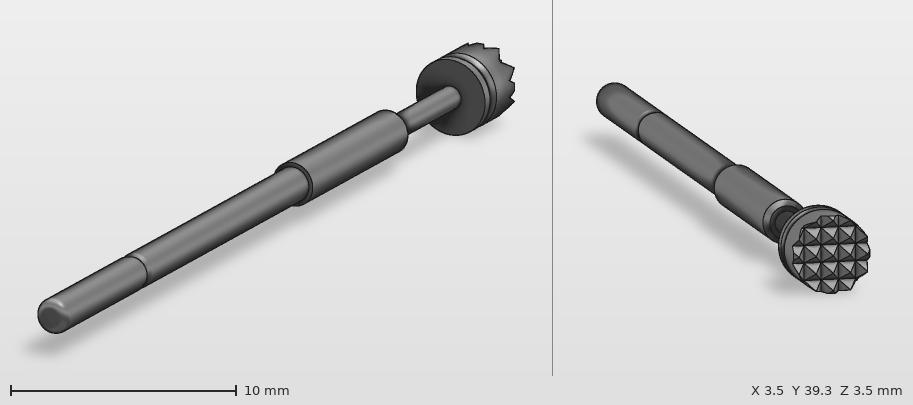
import cadquery as cq

total_length = 39.3

head_diameter = 3.5
head_length = 3.0
teeth_across = 5
tooth_pitch = 0.8
tooth_depth = 0.65
neck_position = 2.25
neck_width = 0.6
neck_depth = 0.15

stem_diameter = 1.05

sleeve_diameter = 2.0
sleeve_front = 8.3
sleeve_back = 17.3
sleeve_chamfer_length = 0.35
sleeve_chamfer_depth = 0.25

tube_diameter = 1.6
tube_end_round = 0.4
detent_position = 7.45
detent_width = 0.6
detent_depth = 0.08


def rod(diameter, start, end):
    """Cylinder on the Y axis from Y = start to Y = end."""
    return cq.Workplane("XZ", origin=(0, start, 0)).circle(diameter / 2).extrude(start - end)


def ring_groove(diameter, position, width, depth):
    """Solid ring with a V section centred on Y = position, for cutting a groove into a rod."""
    radius = diameter / 2
    start = position - width / 2
    end = position + width / 2
    section = cq.Workplane("XY").polyline([(radius, start), (radius - depth, position), (radius, end)])
    return section.close().revolve(360, (0, 0, 0), (0, 1, 0))


def tooth_notches(plane):
    """Parallel V notches across the end of the head, drawn on the given plane."""
    notches = cq.Workplane(plane)
    root = total_length - tooth_depth
    for index in range(teeth_across + 1):
        centre = (index - teeth_across / 2) * tooth_pitch
        left = centre - tooth_pitch / 2
        right = centre + tooth_pitch / 2
        outline = cq.Workplane(plane).polyline([(left, total_length), (centre, root), (right, total_length)])
        notches = notches.add(outline.close().extrude(head_diameter, both=True))
    return notches.combine()


def make_tube():
    tube = rod(tube_diameter, 0, total_length - sleeve_back).faces("<Y").edges().fillet(tube_end_round)
    return tube.cut(ring_groove(tube_diameter, detent_position, detent_width, detent_depth))


def make_sleeve():
    """Sleeve with a shallow cone at its front end."""
    cone_start = total_length - sleeve_front - sleeve_chamfer_length
    body = rod(sleeve_diameter, total_length - sleeve_back, cone_start)
    front_radius = sleeve_diameter / 2 - sleeve_chamfer_depth
    cone = body.faces(">Y").wires().toPending().workplane(offset=sleeve_chamfer_length)
    return cone.circle(front_radius).loft()


def make_head():
    head = rod(head_diameter, total_length - head_length, total_length)
    head = head.cut(ring_groove(head_diameter, total_length - neck_position, neck_width, neck_depth))
    notches_along_z = tooth_notches("XY")
    notches_along_x = notches_along_z.rotate((0, 0, 0), (0, 1, 0), 90)
    return head.cut(notches_along_z).cut(notches_along_x)


stem = rod(stem_diameter, total_length - sleeve_front, total_length - head_length)
result = make_tube().union(make_sleeve()).union(stem).union(make_head())